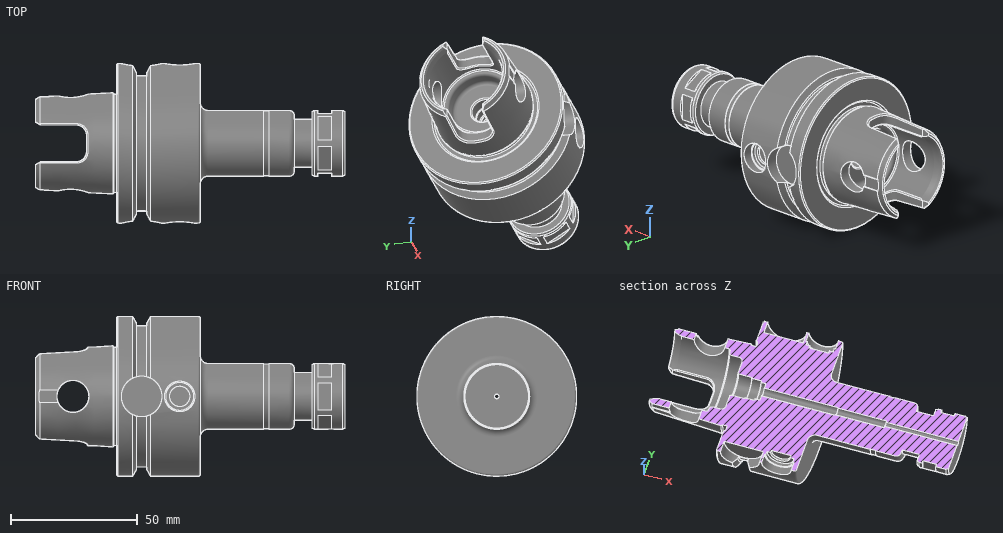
import cadquery as cq
import math


TAPER_LENGTH = 32.0
TAPER_GAUGE_R = 20.05
TAPER_SLOPE = 0.05
RIM_CHAMFER_LENGTH = 1.9
RIM_OUTER_R = 17.3
UNDERCUT_START_X = -1.5
UNDERCUT_CHAMFER = 0.5
UNDERCUT_R = 19.4
FACE_RELIEF_OUTER_R = 21.9
FACE_RELIEF_DEPTH = 0.75

FLANGE_R = 63.0 / 2
FLANGE_LENGTH = 33.0
FLANGE_FRONT_CHAMFER = 0.5
FLANGE_REAR_FILLET = 0.8
GROOVE_CENTER_X = 9.85
GROOVE_TOP_WIDTH = 7.0
GROOVE_WIDTH = 4.0
GROOVE_BOTTOM_R = 27.9
GROOVE_WALL_ANGLE = 60.0

SHANK_R = 26.0 / 2
SHANK_END_X = 70.0
SHANK_ROOT_FILLET = 3.0
SHANK_END_FILLET = 2.0
BAND_START_X = 57.85
BAND_END_X = 60.0
BAND_DEPTH = 0.15
NECK_R = 19.0 / 2
NUT_START_X = 76.9
NUT_R = 26.0 / 2
NUT_CHAMFER_LENGTH = 1.0
NUT_CHAMFER_HEIGHT = 0.5
TOTAL_END_X = 90.0
NUT_FLAT_COUNT = 6
NUT_FLAT_DISTANCE = 11.85
NUT_FLAT_START_X = 79.3
NUT_FLAT_END_X = 84.7

BORE_R = 15.0
MOUTH_R = 16.4
MOUTH_CHAMFER_LENGTH = 1.2
MOUTH_CONE_R = 15.7
MOUTH_CONE_LENGTH = 2.2
BORE_STEP_X = -8.5
BORE_STEP_CHAMFER = 0.5
BORE_INNER_R = 12.4
BORE_STEP_ROUND = 1.3
BORE_FLOOR_X = -2.5
BORE_FLOOR_FILLET = 1.6

THREAD_MOUTH_R = 11.0 / 2
THREAD_R = 10.0 / 2
THREAD_DEPTH = 6.0
PASSAGE_R = 9.2 / 2
PASSAGE_DEPTH = 10.0
PASSAGE_TIP_R = 7.79 / 2
PASSAGE_TIP_DEPTH = 12.0
COOLANT_R = 3.5 / 2
COOLANT_END_X = 40.0
OUTLET_SEAT_R = 3.0 / 2
OUTLET_SEAT_END_X = 60.0
OUTLET_R = 1.7 / 2

SLOT_HALF_WIDTH = 7.2
SLOT_END_X = -11.9
SLOT_CORNER_R = 4.0
SLOT_EDGE_CHAMFER = 0.6
SLOT_INNER_CHAMFER = 0.4
SLOT_MOUTH_LENGTH = 2.1
SLOT_MOUTH_FLARE = 1.2
CROSS_HOLE_R = 12.5 / 2
CROSS_HOLE_X = -17.2
KEYWAY_WIDTH = 4.85
KEYWAY_FLOOR = 18.2

POCKET_R = 16.0 / 2
POCKET_X = GROOVE_CENTER_X
POCKET_FLOOR = 26.5
SCREW_X = 24.85
SCREW_MOUTH_R = 12.0 / 2
SCREW_MOUTH_FLOOR = 27.5
SCREW_R = 11.0 / 2
SCREW_FLOOR = 26.0
SCREW_TIP_R = 8.0 / 2
SCREW_TIP_FLOOR = 25.0

CUT_MARGIN = 1.0
EDGE_MARGIN = 0.1


def taper_radius(x):
    return TAPER_GAUGE_R + TAPER_SLOPE * x


def make_body():
    """Revolved outer shape of taper, flange, extension, neck and nut."""
    rim_end_x = -TAPER_LENGTH + RIM_CHAMFER_LENGTH
    wall_run = (GROOVE_TOP_WIDTH - GROOVE_WIDTH) / 2
    wall_r = FLANGE_R - wall_run * math.tan(math.radians(GROOVE_WALL_ANGLE))
    groove_left = GROOVE_CENTER_X - GROOVE_WIDTH / 2
    groove_right = GROOVE_CENTER_X + GROOVE_WIDTH / 2
    root_r = SHANK_R + SHANK_ROOT_FILLET
    root_x = FLANGE_LENGTH + SHANK_ROOT_FILLET
    shank_end_r = SHANK_R - SHANK_END_FILLET
    arc_inset = 1 - math.sqrt(0.5)
    profile = (
        cq.Workplane("XY")
        .moveTo(-TAPER_LENGTH, 0)
        .lineTo(-TAPER_LENGTH, RIM_OUTER_R)
        .lineTo(rim_end_x, taper_radius(rim_end_x))
        .lineTo(UNDERCUT_START_X, taper_radius(UNDERCUT_START_X))
        .lineTo(UNDERCUT_START_X + UNDERCUT_CHAMFER, UNDERCUT_R)
        .lineTo(FACE_RELIEF_DEPTH, UNDERCUT_R)
        .lineTo(FACE_RELIEF_DEPTH, FACE_RELIEF_OUTER_R - FACE_RELIEF_DEPTH)
        .lineTo(0, FACE_RELIEF_OUTER_R)
        .lineTo(0, FLANGE_R - FLANGE_FRONT_CHAMFER)
        .lineTo(FLANGE_FRONT_CHAMFER, FLANGE_R)
        .lineTo(groove_left - wall_run, FLANGE_R)
        .lineTo(groove_left, wall_r)
        .lineTo(groove_left, GROOVE_BOTTOM_R)
        .lineTo(groove_right, GROOVE_BOTTOM_R)
        .lineTo(groove_right, wall_r)
        .lineTo(groove_right + wall_run, FLANGE_R)
        .lineTo(FLANGE_LENGTH - FLANGE_REAR_FILLET, FLANGE_R)
        .threePointArc(
            (FLANGE_LENGTH - FLANGE_REAR_FILLET * arc_inset, FLANGE_R - FLANGE_REAR_FILLET * arc_inset),
            (FLANGE_LENGTH, FLANGE_R - FLANGE_REAR_FILLET),
        )
        .lineTo(FLANGE_LENGTH, root_r)
        .threePointArc(
            (FLANGE_LENGTH + SHANK_ROOT_FILLET * arc_inset, SHANK_R + SHANK_ROOT_FILLET * arc_inset),
            (root_x, SHANK_R),
        )
        .lineTo(BAND_START_X, SHANK_R)
        .lineTo(BAND_START_X, SHANK_R - BAND_DEPTH)
        .lineTo(BAND_END_X, SHANK_R - BAND_DEPTH)
        .lineTo(BAND_END_X, SHANK_R)
        .lineTo(SHANK_END_X - SHANK_END_FILLET, SHANK_R)
        .threePointArc(
            (SHANK_END_X - SHANK_END_FILLET * arc_inset, SHANK_R - SHANK_END_FILLET * arc_inset),
            (SHANK_END_X, shank_end_r),
        )
        .lineTo(SHANK_END_X, NECK_R)
        .lineTo(NUT_START_X, NECK_R)
        .lineTo(NUT_START_X, NUT_R - NUT_CHAMFER_HEIGHT)
        .lineTo(NUT_START_X + NUT_CHAMFER_LENGTH, NUT_R)
        .lineTo(TOTAL_END_X - NUT_CHAMFER_LENGTH, NUT_R)
        .lineTo(TOTAL_END_X, NUT_R - NUT_CHAMFER_HEIGHT)
        .lineTo(TOTAL_END_X, 0)
        .close()
    )
    return profile.revolve(360, (0, 0, 0), (1, 0, 0))


def make_bore():
    """Revolved cavity of the taper shank with the coolant passage behind it."""
    arc_inset = 1 - math.sqrt(0.5)
    round_inset = BORE_STEP_ROUND * arc_inset
    fillet_inset = BORE_FLOOR_FILLET * arc_inset
    mouth_cone_x = -TAPER_LENGTH + MOUTH_CHAMFER_LENGTH
    thread_chamfer = THREAD_MOUTH_R - THREAD_R
    thread_end_x = BORE_FLOOR_X + THREAD_DEPTH
    passage_end_x = BORE_FLOOR_X + PASSAGE_DEPTH
    passage_tip_x = BORE_FLOOR_X + PASSAGE_TIP_DEPTH
    profile = (
        cq.Workplane("XY")
        .moveTo(-TAPER_LENGTH, 0)
        .lineTo(-TAPER_LENGTH, MOUTH_R)
        .lineTo(mouth_cone_x, MOUTH_CONE_R)
        .lineTo(mouth_cone_x + MOUTH_CONE_LENGTH, BORE_R)
        .lineTo(BORE_STEP_X - BORE_STEP_CHAMFER, BORE_R)
        .lineTo(BORE_STEP_X, BORE_R - BORE_STEP_CHAMFER)
        .lineTo(BORE_STEP_X, BORE_INNER_R + BORE_STEP_ROUND)
        .threePointArc(
            (BORE_STEP_X + round_inset, BORE_INNER_R + round_inset),
            (BORE_STEP_X + BORE_STEP_ROUND, BORE_INNER_R),
        )
        .lineTo(BORE_FLOOR_X - BORE_FLOOR_FILLET, BORE_INNER_R)
        .threePointArc(
            (BORE_FLOOR_X - fillet_inset, BORE_INNER_R - fillet_inset),
            (BORE_FLOOR_X, BORE_INNER_R - BORE_FLOOR_FILLET),
        )
        .lineTo(BORE_FLOOR_X, THREAD_MOUTH_R)
        .lineTo(BORE_FLOOR_X + thread_chamfer, THREAD_R)
        .lineTo(thread_end_x, THREAD_R)
        .lineTo(thread_end_x, PASSAGE_R)
        .lineTo(passage_end_x, PASSAGE_R)
        .lineTo(passage_end_x, PASSAGE_TIP_R)
        .lineTo(passage_tip_x, PASSAGE_TIP_R)
        .lineTo(passage_tip_x, COOLANT_R)
        .lineTo(COOLANT_END_X, COOLANT_R)
        .lineTo(COOLANT_END_X, OUTLET_SEAT_R)
        .lineTo(OUTLET_SEAT_END_X, OUTLET_SEAT_R)
        .lineTo(OUTLET_SEAT_END_X, OUTLET_R)
        .lineTo(TOTAL_END_X, OUTLET_R)
        .lineTo(TOTAL_END_X, 0)
        .close()
    )
    return profile.revolve(360, (0, 0, 0), (1, 0, 0))


def make_drive_slot():
    """Slot open to the taper end, running through both walls along Z."""
    start_x = -TAPER_LENGTH - CUT_MARGIN
    return (
        cq.Workplane("XY")
        .box(SLOT_END_X - start_x, 2 * SLOT_HALF_WIDTH, 2 * FLANGE_R, centered=(False, True, True))
        .translate((start_x, 0, 0))
        .edges("|Z and >X")
        .fillet(SLOT_CORNER_R)
    )


def slot_edges(body, side, inner_z, outer_z):
    """Edges of the drive slot between two heights on one side of the axis."""
    region = cq.selectors.BoxSelector(
        (-TAPER_LENGTH + RIM_CHAMFER_LENGTH, -SLOT_HALF_WIDTH - EDGE_MARGIN, side * inner_z),
        (SLOT_END_X + EDGE_MARGIN, SLOT_HALF_WIDTH + EDGE_MARGIN, side * outer_z),
    )
    return body.edges(region).edges("not |Z")


def make_slotted_body():
    """Outer body with a straight bore and the drive slot, its edges broken."""
    depth = TAPER_LENGTH + BORE_STEP_X - BORE_STEP_CHAMFER
    bore = cq.Workplane("YZ", origin=(-TAPER_LENGTH, 0, 0)).circle(BORE_R).extrude(depth)
    body = make_body().cut(bore).cut(make_drive_slot())
    for side in (-1, 1):
        body = slot_edges(body, side, BORE_R + EDGE_MARGIN, TAPER_GAUGE_R).chamfer(SLOT_EDGE_CHAMFER)
        body = slot_edges(body, side, BORE_R / 2, BORE_R + EDGE_MARGIN).chamfer(SLOT_INNER_CHAMFER)
    return body


def make_slot_mouth():
    """Wedge that flares both slot walls at the taper end."""
    start_x = -TAPER_LENGTH
    wide = SLOT_HALF_WIDTH + SLOT_MOUTH_FLARE
    return (
        cq.Workplane("XY")
        .moveTo(start_x, -wide)
        .lineTo(start_x + SLOT_MOUTH_LENGTH, -SLOT_HALF_WIDTH)
        .lineTo(start_x + SLOT_MOUTH_LENGTH, SLOT_HALF_WIDTH)
        .lineTo(start_x, wide)
        .close()
        .extrude(FLANGE_R, both=True)
    )


def side_cylinder(x, radius, floor, side):
    """Round cutter along Y, from a flat floor out past the flange; side is -1 or 1."""
    return (
        cq.Workplane("XZ", origin=(x, side * floor, 0))
        .circle(radius)
        .extrude(-side * (FLANGE_R + CUT_MARGIN - floor))
    )


def make_keyway(side):
    """Flat-floored groove from the taper rim to the cross hole."""
    height = TAPER_GAUGE_R - KEYWAY_FLOOR
    return (
        cq.Workplane("XY")
        .box(TAPER_LENGTH + CROSS_HOLE_X, height, KEYWAY_WIDTH, centered=(False, True, True))
        .translate((-TAPER_LENGTH, side * (KEYWAY_FLOOR + height / 2), 0))
    )


def make_nut_flat(index):
    """Cutter for one wrench flat on the nut."""
    depth = NUT_R - NUT_FLAT_DISTANCE + CUT_MARGIN
    return (
        cq.Workplane("XY")
        .box(NUT_FLAT_END_X - NUT_FLAT_START_X, depth, 2 * NUT_R, centered=(False, False, True))
        .translate((NUT_FLAT_START_X, NUT_FLAT_DISTANCE, 0))
        .rotate((0, 0, 0), (1, 0, 0), index * 360.0 / NUT_FLAT_COUNT)
    )


def make_side_openings(side):
    """Cutters on one side of the holder: keyway, drive pocket and stepped screw hole."""
    return [
        make_keyway(side),
        side_cylinder(POCKET_X, POCKET_R, POCKET_FLOOR, side),
        side_cylinder(SCREW_X, SCREW_MOUTH_R, SCREW_MOUTH_FLOOR, side),
        side_cylinder(SCREW_X, SCREW_R, SCREW_FLOOR, side),
        side_cylinder(SCREW_X, SCREW_TIP_R, SCREW_TIP_FLOOR, side),
    ]


def make_cross_hole():
    """Round hole through both walls of the taper along Y."""
    return cq.Workplane("XZ", origin=(CROSS_HOLE_X, 0, 0)).circle(CROSS_HOLE_R).extrude(FLANGE_R, both=True)


holder = make_slotted_body()
holder = holder.cut(make_slot_mouth()).cut(make_bore()).cut(make_cross_hole())
for side in (-1, 1):
    for opening in make_side_openings(side):
        holder = holder.cut(opening)
for index in range(NUT_FLAT_COUNT):
    holder = holder.cut(make_nut_flat(index))

result = holder